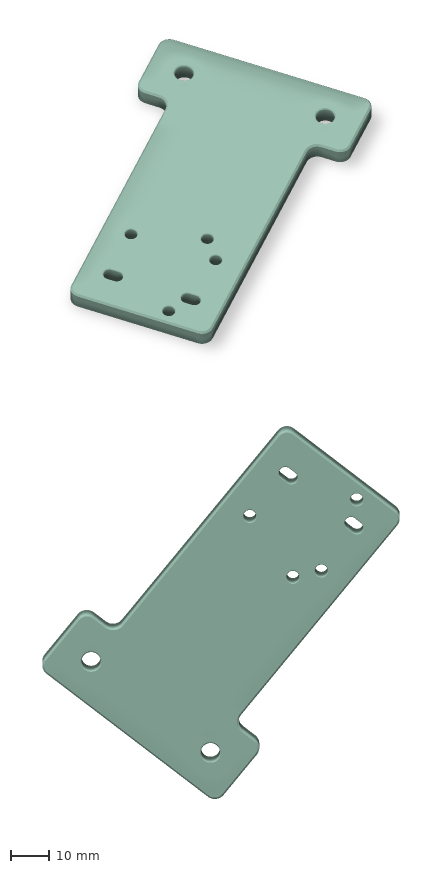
import cadquery as cq

head_width = 60.0
stem_width = 40.0
total_length = 92.0
head_length = 20.0
stem_length = total_length - head_length
thickness = 5.0
corner_radius = 3.0
edge_chamfer = 0.5

mount_hole_diameter = 5.0
mount_hole_spacing = 40.0
mount_hole_y = stem_length + head_length / 2
mount_hole_chamfer = 0.3

small_hole_diameter = 3.3
pair_hole_spacing = 24.0
pair_hole_y = 25.0
offset_hole_x = 7.2
offset_hole_ys = (4.0, 31.0)

slot_width = small_hole_diameter
slot_travel = 2.0
slot_length = slot_width + slot_travel
slot_spacing = pair_hole_spacing - slot_travel
slot_y = 10.0

stem_opening_chamfer = 0.2


def block(width, length, start_y):
    """Full-thickness block centred on X = 0, running in +Y from start_y."""
    plan = cq.Workplane("XY").center(0, start_y + length / 2).rect(width, length)
    return plan.extrude(thickness)


def make_plate():
    """T-shaped plate with rounded corners and chamfered outer edges."""
    stem = block(stem_width, total_length, 0)
    head = block(head_width, head_length, stem_length)
    plate = stem.union(head).clean().edges("|Z").fillet(corner_radius)
    return plate.faces("<Z or >Z").edges().chamfer(edge_chamfer)


def symmetric_pair(spacing, y):
    """Two points mirrored about the plate's centre line."""
    return [(-spacing / 2, y), (spacing / 2, y)]


def make_holes(points, diameter):
    """Cutters for round through-holes."""
    return cq.Workplane("XY").pushPoints(points).circle(diameter / 2).extrude(thickness)


def make_slots(points):
    """Cutters for through-slots, long side along X."""
    return cq.Workplane("XY").pushPoints(points).slot2D(slot_length, slot_width).extrude(thickness)


def chamfer_rims(plate, start_y, end_y, size):
    """Chamfer, top and bottom, the rims of the openings centred between start_y and end_y."""
    rims = []
    for face in plate.faces("<Z or >Z").vals():
        for wire in face.innerWires():
            if start_y < wire.Center().y < end_y:
                rims.extend(wire.Edges())
    return plate.newObject(rims).chamfer(size)


mount_hole_points = symmetric_pair(mount_hole_spacing, mount_hole_y)
small_hole_points = symmetric_pair(pair_hole_spacing, pair_hole_y)
small_hole_points += [(offset_hole_x, y) for y in offset_hole_ys]
slot_points = symmetric_pair(slot_spacing, slot_y)

plate = make_plate()
plate = plate.cut(make_holes(mount_hole_points, mount_hole_diameter))
plate = plate.cut(make_holes(small_hole_points, small_hole_diameter))
plate = plate.cut(make_slots(slot_points))
plate = chamfer_rims(plate, stem_length, total_length, mount_hole_chamfer)
result = chamfer_rims(plate, 0, stem_length, stem_opening_chamfer)